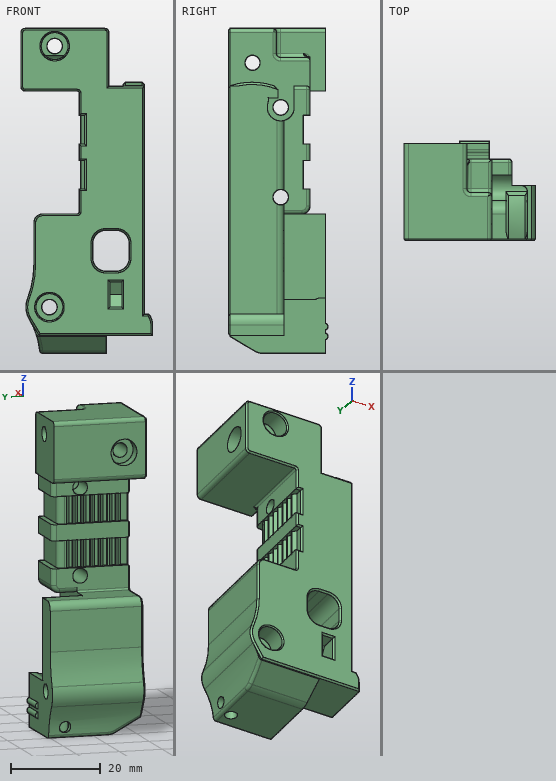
import cadquery as cq
import math


clearance = 1.0
edge_reach = 0.05

front_chamfer = 0.4
total_height = 72.5
full_depth = 21.67
plate_depth = 12.35
foot_right = 29.4
plate_right = 27.55
base_z = 4.0

head_width = 19.65
head_bottom = 58.5
head_round = 1.0
head_step_x = 14.1
head_step_y = 10.7
head_step_round = 0.9
shoulder_z = 59.6

column_left = 13.0
column_right = 24.15
column_depth = 18.2
column_bottom = 31.1
column_round = 1.1
column_top_round = 0.8
column_foot_round = 1.8
ledge_z = 66.0
inner_corner = 0.45

lower_left = 2.9
lower_top = 31.12
lower_round = 2.0
lower_wall_right = 9.0
base_right = 19.05
base_floor = 12.0
floor_step_start = 19.0
floor_step_end = 20.3
floor_step_rise = 0.35
flare_top = 19.87
flare_bottom = 12.2
bulge_radius = 5.25
chin_top = 7.6
chin_x = 4.2
chin_slope_depth = 6.7
chin_round = 0.8
chin_fold_round = 4.0

foot_top = 8.8
foot_shoulder_x = 28.5
foot_arc_z = 6.4
plate_edge_round = 1.5

screw_d = 3.4
head_d = 6.0
front_head_depth = 5.0
head_rim_chamfer = 0.3
head_screw = (7.55, 68.52)
chin_screw = (6.38, 10.33)
bulge_left = (chin_screw[0] - bulge_radius, chin_screw[1])

side_hole_d = 3.3
side_hole_y = 5.37
side_hole_z = 64.8
side_head_depth = 3.0
column_screw_y = 11.65
column_screw_z = (34.85, 54.85)
chin_hole_d = 2.6
chin_hole_y = 17.9
chin_hole_z = 2.5
chin_bore_d = 2.9
chin_bore_x = 6.5
chin_bore_height = 5.0

window_x = 20.1
window_z = 22.9
window_width = 8.1
window_height = 9.1
window_round = 2.9
slot_x = 21.2
slot_z = 13.15
slot_width = 2.65
slot_height = 5.6
slot_straight_depth = 4.0
slot_wedge_depth = 1.6

belt_bands = ((36.7, 43.0), (46.7, 53.05))
tooth_crest_x = 13.35
tooth_depth = 0.85
tooth_pitch = 2.0
tooth_crest_width = 0.4
tooth_count = 7
first_root_y = 1.9
belt_back_y = 16.7
belt_round = 1.5

lip_start_y = 5.9
tab_left = 22.8
tab_depth = 11.0
tab_edge_z = 59.7
tab_crown_z = 60.47
tab_bottom = 57.0
tab_chamfer = 0.5
tab_back_bevel = 0.9

ridge_d = 1.6
ridge_height = 0.53
ridge_left = 12.44
ridge_z = (3.8, 6.0)


def box(x0, x1, y0, y1, z0, z1):
    """Box between the given limits along X, Y and Z."""
    return cq.Workplane("XY").box(x1 - x0, y1 - y0, z1 - z0, centered=False).translate((x0, y0, z0))


def rod_along_x(x0, x1, y, z, diameter):
    return cq.Workplane("YZ", origin=(x0, y, z)).circle(diameter / 2).extrude(x1 - x0)


def rod_along_y(x, z, y0, y1, diameter):
    return cq.Workplane("XZ", origin=(x, y0, z)).circle(diameter / 2).extrude(y0 - y1)


def bulge_point(z):
    """Point on the left of the bulge around the lower screw."""
    bulge_x, bulge_z = chin_screw
    return bulge_x - math.sqrt(bulge_radius**2 - (z - bulge_z) ** 2), z


def arc_middle(start, end, center):
    """Point halfway along the short arc from start to end about center."""
    mid = ((start[0] + end[0]) / 2 - center[0], (start[1] + end[1]) / 2 - center[1])
    scale = math.dist(start, center) / math.hypot(*mid)
    return center[0] + mid[0] * scale, center[1] + mid[1] * scale


def round_corner(body, x, z, radius):
    """Round the edge along Y at the given X and Z."""
    low = (x - edge_reach, 0, z - edge_reach)
    high = (x + edge_reach, full_depth, z + edge_reach)
    return body.edges("|Y").edges(cq.selectors.BoxSelector(low, high)).fillet(radius)


def outline_prism():
    """Full-depth prism of the front outline, without the chin below the base."""
    bulge_top = bulge_point(flare_bottom)
    bulge_end = bulge_point(chin_top)
    chin_slope = (chin_screw[1] - chin_top) / (chin_screw[0] - bulge_end[0])
    base_left = (bulge_end[0] + (chin_top - base_z) * chin_slope, base_z)
    foot_run = foot_right - foot_shoulder_x
    foot_rise = foot_top - foot_arc_z
    foot_radius = (foot_run**2 + foot_rise**2) / (2 * foot_run)
    foot_center = (foot_right - foot_radius, foot_arc_z)
    foot_start = (foot_shoulder_x, foot_top)
    foot_end = (foot_right, foot_arc_z)
    prism = (
        cq.Workplane("XZ")
        .moveTo(0, total_height)
        .lineTo(head_width, total_height)
        .lineTo(head_width, shoulder_z)
        .lineTo(plate_right, shoulder_z)
        .lineTo(plate_right, foot_top)
        .lineTo(*foot_start)
        .threePointArc(arc_middle(foot_start, foot_end, foot_center), foot_end)
        .lineTo(foot_right, base_z)
        .lineTo(*base_left)
        .lineTo(*bulge_end)
        .threePointArc(bulge_left, bulge_top)
        .tangentArcPoint((lower_left, flare_top), relative=False)
        .lineTo(lower_left, lower_top)
        .lineTo(column_left, lower_top)
        .lineTo(column_left, head_bottom)
        .lineTo(0, head_bottom)
        .close()
        .extrude(-full_depth)
    )
    for x, z in ((0, total_height), (head_width, total_height), (0, head_bottom)):
        prism = round_corner(prism, x, z, head_round)
    prism = round_corner(prism, lower_left, lower_top, lower_round)
    for z in (lower_top, head_bottom):
        prism = round_corner(prism, column_left, z, inner_corner)
    return prism


def column():
    """Belt column behind the plate, rounded where its faces are exposed."""
    tower = box(column_left, column_right, 0, column_depth, column_bottom, shoulder_z)
    tower = tower.edges("|X and >Y and <Z").fillet(column_foot_round)
    tower = tower.edges("|Z and >X and >Y").fillet(column_top_round)
    top = tower.faces(">Z")
    tower = tower.newObject(top.edges(">X").vals() + top.edges(">Y").vals()).fillet(column_top_round)
    tower = tower.faces("<X").edges(">Y").fillet(column_round)
    head_corner = box(
        column_left - inner_corner,
        column_left + inner_corner,
        0,
        column_depth,
        head_bottom - inner_corner,
        head_bottom,
    )
    return tower.union(head_corner)


def head():
    """Head block, full depth on the left and stepped forward on the right."""
    block = box(0, head_width, 0, full_depth, head_bottom, total_height)
    step = box(head_step_x, head_width, head_step_y, full_depth, head_bottom, total_height)
    block = block.cut(step)
    step_corner = cq.selectors.NearestToPointSelector((head_step_x, head_step_y, ledge_z))
    block = block.edges("|Z").edges(step_corner).fillet(head_step_round)
    rim = cq.selectors.BoxSelector(
        (head_step_x - clearance, head_step_y - clearance, total_height - clearance),
        (head_width + clearance, full_depth + clearance, total_height + clearance),
    )
    return block.faces(">Z").edges(rim).edges("not(>Y)").edges("not(>X)").fillet(head_step_round)


def ledge_edges(x0, x1, y0, y1):
    """Selector for the edges at ledge height whose middles lie in the given X and Y ranges."""
    return cq.selectors.BoxSelector((x0, y0, ledge_z - edge_reach), (x1, y1, ledge_z + edge_reach))


def head_on_ledge():
    """Head joined to the ledge that continues the column behind the head's step."""
    ledge = box(column_left, head_width, 0, column_depth, head_bottom, ledge_z)
    joined = head().union(ledge)
    seam = ledge_edges(0, head_width - edge_reach, 0, column_depth - edge_reach)
    joined = joined.edges(seam).fillet(head_step_round)
    right_rim = ledge_edges(head_width - edge_reach, head_width + edge_reach, head_step_y, column_depth)
    back_rim = ledge_edges(head_step_x, head_width, column_depth - edge_reach, column_depth + edge_reach)
    rims = joined.edges(right_rim).vals() + joined.edges(back_rim).vals()
    return joined.newObject(rims).fillet(column_top_round)


def lower_block():
    """Full-height wall on the left and a lower base open at the back."""
    wall = box(0, lower_wall_right, 0, full_depth, 0, lower_top)
    base = box(0, base_right, 0, full_depth, 0, base_floor)
    return wall.union(base)


def belt_channel(bottom, top):
    """Toothed channel that wraps from the left side of the column around its back."""
    root_x = tooth_crest_x + tooth_depth
    outside = column_left - clearance
    behind = column_depth + clearance
    path = cq.Workplane("XY", origin=(0, 0, bottom)).moveTo(outside, 0).lineTo(root_x, 0)
    for index in range(tooth_count):
        root_y = first_root_y + index * tooth_pitch
        crest_y = root_y + tooth_depth
        path = path.lineTo(root_x, root_y).lineTo(tooth_crest_x, crest_y)
        if index < tooth_count - 1:
            path = path.lineTo(tooth_crest_x, crest_y + tooth_crest_width)
            path = path.lineTo(root_x, crest_y + tooth_crest_width)
    path = path.lineTo(tooth_crest_x, belt_back_y - belt_round)
    path = path.tangentArcPoint((tooth_crest_x + belt_round, belt_back_y), relative=False)
    path = path.lineTo(column_right, belt_back_y).lineTo(column_right, behind).lineTo(outside, behind)
    return path.close().extrude(top - bottom)


def window():
    """Rounded opening through the plate."""
    return (
        cq.Workplane("XZ", origin=(window_x, 0, window_z))
        .rect(window_width, window_height)
        .extrude(-full_depth)
        .edges("|Y")
        .fillet(window_round)
    )


def wedge_slot():
    """Blind slot whose end narrows to an edge."""
    half_height = slot_height / 2
    return (
        cq.Workplane("YZ", origin=(slot_x - slot_width / 2, 0, slot_z))
        .moveTo(0, -half_height)
        .lineTo(slot_straight_depth, -half_height)
        .lineTo(slot_straight_depth + slot_wedge_depth, 0)
        .lineTo(slot_straight_depth, half_height)
        .lineTo(0, half_height)
        .close()
        .extrude(slot_width)
    )


def chamfered_body():
    """Plate, column, head and lower block in one, with every front edge chamfered."""
    prism = outline_prism()
    upper_plate = box(0, plate_right, 0, plate_depth, foot_top, shoulder_z)
    upper_plate = upper_plate.edges("|Z and >X and >Y").fillet(plate_edge_round)
    body = box(0, foot_right, 0, plate_depth, 0, foot_top).union(upper_plate)
    for zone in (column(), head_on_ledge(), lower_block()):
        body = body.union(zone)
    body = body.intersect(prism).clean()
    for bottom, top in belt_bands:
        body = body.cut(belt_channel(bottom, top))
    body = body.cut(window()).cut(wedge_slot())
    return body.faces("<Y").edges().chamfer(front_chamfer)


def chin():
    """Sloped boss below the base; its left side carries on from the bulge."""
    bulge_end = bulge_point(chin_top)
    boss = (
        cq.Workplane("XZ")
        .moveTo(*bulge_left)
        .threePointArc(arc_middle(bulge_left, bulge_end, chin_screw), bulge_end)
        .tangentArcPoint((chin_x, 0), relative=False)
        .lineTo(base_right, 0)
        .lineTo(base_right, chin_screw[1])
        .close()
        .extrude(-full_depth)
    )
    slope = (
        cq.Workplane("YZ")
        .moveTo(0, 0)
        .lineTo(chin_slope_depth, 0)
        .lineTo(0, base_z)
        .close()
        .extrude(foot_right)
    )
    boss = boss.cut(slope)
    fold = cq.selectors.NearestToPointSelector(((chin_x + base_right) / 2, chin_slope_depth, 0))
    boss = boss.edges(fold).fillet(chin_fold_round)
    slope_middle = (chin_x, chin_slope_depth / 2, base_z / 2)
    boss = boss.edges(cq.selectors.NearestToPointSelector(slope_middle)).fillet(chin_round)
    return boss.cut(box(0, foot_right, 0, front_chamfer, 0, chin_screw[1]))


def screw_from_front(x, z):
    """Through hole with a chamfered round head recess in the front face."""
    rim_d = head_d + 2 * head_rim_chamfer
    rim = cq.Workplane("XZ", origin=(x, 0, z)).circle(rim_d / 2).extrude(-head_rim_chamfer, taper=45)
    hole = rod_along_y(x, z, 0, full_depth, screw_d)
    return hole.union(rod_along_y(x, z, 0, front_head_depth, head_d)).union(rim)


def screws_from_left():
    """Head screw with its recess, the two column screws and the hole in the chin."""
    head_hole = rod_along_x(0, head_width, side_hole_y, side_hole_z, side_hole_d)
    holes = head_hole.union(rod_along_x(0, side_head_depth, side_hole_y, side_hole_z, head_d))
    for z in column_screw_z:
        holes = holes.union(rod_along_x(column_left, plate_right, column_screw_y, z, screw_d))
    return holes.union(rod_along_x(0, chin_bore_x, chin_hole_y, chin_hole_z, chin_hole_d))


def chin_bore():
    """Blind bore from below that the chin's side hole runs into."""
    center = (chin_bore_x, chin_hole_y, 0)
    return cq.Workplane("XY", origin=center).circle(chin_bore_d / 2).extrude(chin_bore_height)


def head_channel():
    """Channel for the upper column screw's head, open upwards with a rounded front lip."""
    radius = head_d / 2
    center = (column_screw_y, column_screw_z[1])
    back_y = column_screw_y + radius
    run = center[0] - lip_start_y
    drop = shoulder_z - center[1]
    lip_radius = (run**2 + drop**2 - radius**2) / (2 * (radius + drop))
    lip_start = (lip_start_y, shoulder_z)
    lip_center = (lip_start_y, shoulder_z - lip_radius)
    share = lip_radius / (lip_radius + radius)
    lip_end = (
        lip_center[0] + share * (center[0] - lip_center[0]),
        lip_center[1] + share * (center[1] - lip_center[1]),
    )
    return (
        cq.Workplane("YZ", origin=(head_width, 0, 0))
        .moveTo(*lip_start)
        .threePointArc(arc_middle(lip_start, lip_end, lip_center), lip_end)
        .threePointArc((center[0], center[1] - radius), (back_y, center[1]))
        .lineTo(back_y, shoulder_z)
        .close()
        .extrude(foot_right - head_width)
    )


def tab():
    """Domed tab on the shoulder, reaching back over the screw-head channel."""
    dome_end = tab_depth - tab_back_bevel
    return (
        cq.Workplane("YZ", origin=(tab_left, 0, 0))
        .moveTo(front_chamfer, tab_bottom)
        .lineTo(front_chamfer, tab_edge_z)
        .threePointArc(((front_chamfer + dome_end) / 2, tab_crown_z), (dome_end, tab_edge_z))
        .lineTo(tab_depth, tab_edge_z - tab_back_bevel)
        .lineTo(tab_depth, tab_bottom)
        .close()
        .extrude(plate_right - tab_left)
        .faces("<X or >X")
        .edges(">Z")
        .chamfer(tab_chamfer)
    )


def floor_step():
    """Low rise along the back of the open floor between the lower wall and the base edge."""
    floor_step_middle = (floor_step_start + floor_step_end) / 2
    return (
        cq.Workplane("YZ", origin=(lower_wall_right, 0, base_floor - clearance))
        .moveTo(plate_depth, 0)
        .lineTo(plate_depth, clearance)
        .lineTo(floor_step_start, clearance)
        .tangentArcPoint((floor_step_middle, clearance + floor_step_rise / 2), relative=False)
        .tangentArcPoint((floor_step_end, clearance + floor_step_rise), relative=False)
        .lineTo(full_depth, clearance + floor_step_rise)
        .lineTo(full_depth, 0)
        .close()
        .extrude(base_right - lower_wall_right)
    )


def ridges():
    """Two low round ridges across the back of the base."""
    center_y = full_depth + ridge_height - ridge_d / 2
    low, high = [rod_along_x(ridge_left, base_right, center_y, z, ridge_d) for z in ridge_z]
    return low.union(high)


result = chamfered_body().union(chin())
result = result.cut(head_channel())
for addition in (tab(), floor_step(), ridges()):
    result = result.union(addition)
for x, z in (head_screw, chin_screw):
    result = result.cut(screw_from_front(x, z))
result = result.cut(screws_from_left()).cut(chin_bore())